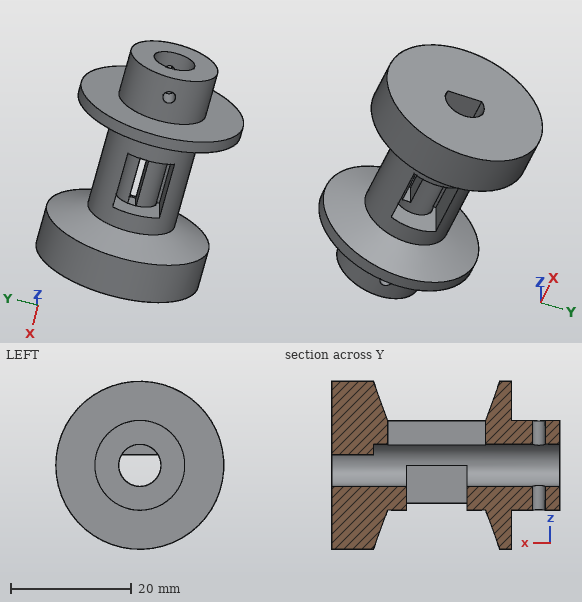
import cadquery as cq

total_length = 38.0
flange_diameter = 28.0
flange_radius = flange_diameter / 2
drum_radius = 7.5
bore_radius = 3.5

hub_length = 8.0
flange_thickness = 2.0
cone_length = 2.35
rim_length = 7.0

flat_height = 1.75

pin_diameter = 2.1
pin_position = 3.5

slot_width = 1.5
window_length = 10.0
window_width = 8.0
window_start = 15.5

flange_end = hub_length + flange_thickness
drum_start = flange_end + cone_length
rim_start = total_length - rim_length
drum_end = rim_start - cone_length
drum_length = drum_end - drum_start


def spool_body():
    """Hub, thin flange, drum and thick rim turned as one solid."""
    return (
        cq.Workplane("XY")
        .moveTo(0, 0)
        .lineTo(0, drum_radius)
        .lineTo(hub_length, drum_radius)
        .lineTo(hub_length, flange_radius)
        .lineTo(flange_end, flange_radius)
        .lineTo(drum_start, drum_radius)
        .lineTo(drum_end, drum_radius)
        .lineTo(rim_start, flange_radius)
        .lineTo(total_length, flange_radius)
        .lineTo(total_length, 0)
        .close()
        .revolve(360, (0, 0, 0), (1, 0, 0))
    )


def bore():
    """Round bore through the spool, with a flat on top inside the rim."""
    round_bore = cq.Workplane("YZ").circle(bore_radius).extrude(total_length)
    flat_fill = cq.Workplane("XY").box(
        rim_length, 2 * bore_radius, bore_radius, centered=(False, True, False)
    )
    return round_bore.cut(flat_fill.translate((rim_start, 0, flat_height)))


def pin_hole():
    """Vertical hole through both walls of the hub."""
    return (
        cq.Workplane("XY")
        .center(pin_position, 0)
        .circle(pin_diameter / 2)
        .extrude(drum_radius, both=True)
    )


def drum_slot():
    """Narrow slot along the top of the drum, open to the bore."""
    return cq.Workplane("XY").box(
        drum_length, slot_width, drum_radius, centered=(False, True, False)
    ).translate((drum_start, 0, 0))


def drum_window():
    """Rectangular opening from the underside of the drum up to the axis."""
    return cq.Workplane("XY").box(
        window_length, window_width, drum_radius, centered=(False, True, False)
    ).translate((window_start, 0, -drum_radius))


result = spool_body().cut(bore()).cut(pin_hole()).cut(drum_slot()).cut(drum_window())